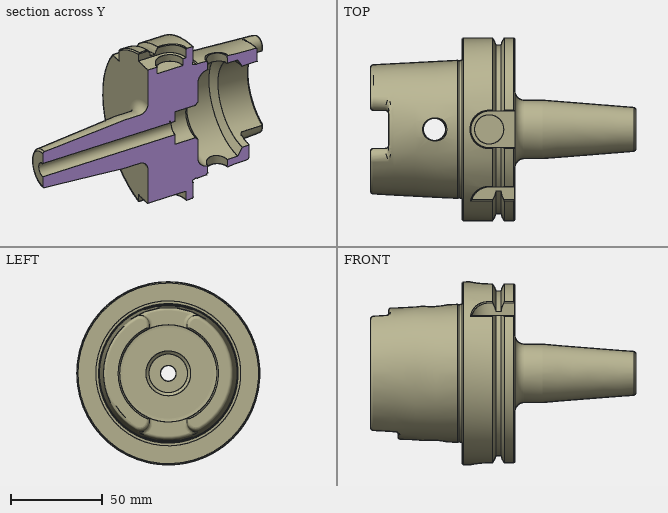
import cadquery as cq
import math


shank_length = 50.0
flange_width = 28.9
overall_length = 145.0
nose_tip_x = overall_length - shank_length

shank_radius = 75.5 / 2
shank_slope = 1 / 20
shank_rounding = 1.7
shank_end_radius = shank_radius - shank_slope * shank_length
relief_start_x = -2.5
relief_bottom_x = -1.6
relief_end_x = -0.6
relief_depth = 0.3
face_groove_radius = 39.6
face_groove_inner_radius = 38.1
face_groove_depth = 0.6

flange_radius = 50.0
flange_chamfer = 0.7
groove_radius = 46.1
groove_top_x = (16.5, 23.0)
groove_bottom_x = (18.5, 21.3)
groove_flank_x = (17.8, 21.8)
groove_flank_radius = 47.8

nose_radius = 32.0 / 2
nose_root_fillet = 5.1
nose_cone_x = 44.0
nose_tip_radius = 12.0
nose_tip_chamfer = 1.0

mouth_radius = 53.0 / 2
mouth_chamfer = 0.9
mouth_length = 19.5
clamping_radius = 63.0 / 2
clamping_angle = 60
bore_floor_x = -2.9
bore_floor_fillet = 6.7
coolant_radius = 21.0 / 2
coolant_chamfer = 1.7
coolant_depth = 14.5
through_radius = 8.4 / 2

cross_hole_x = -15.1
cross_hole_diameter = 12.0
cross_hole_rim = 12.8

drive_half_width = 10.3
drive_mouth_fillet = 5.0
drive_floor_fillet = 1.7
drive_depth_above = 9.9
drive_depth_below = 15.0
drive_floor_above_x = drive_depth_above - shank_length
drive_floor_below_x = drive_depth_below - shank_length

slot_radius = 20.0 / 2
slot_end_x = 14.8
slot_floor_z = 44.0
slot_chamfer = 0.51
notch_floor = 31.5
chip_hole_diameter = 16.0
chip_hole_depth = 4.4

margin = 7.2
tolerance = 0.01


def revolve_x(profile):
    return profile.close().revolve(360, (0, 0, 0), (1, 0, 0))


def turned_body():
    profile = (
        cq.Workplane("XY")
        .moveTo(-shank_length, 0)
        .lineTo(-shank_length, shank_end_radius)
        .lineTo(relief_start_x, shank_radius)
        .lineTo(relief_bottom_x, shank_radius - relief_depth)
        .lineTo(relief_end_x, shank_radius)
        .lineTo(face_groove_depth, face_groove_inner_radius)
        .lineTo(face_groove_depth, face_groove_radius)
        .lineTo(0, face_groove_radius)
        .lineTo(0, flange_radius - flange_chamfer)
        .lineTo(flange_chamfer, flange_radius)
        .lineTo(flange_width - flange_chamfer, flange_radius)
        .lineTo(flange_width, flange_radius - flange_chamfer)
        .lineTo(flange_width, nose_radius + nose_root_fillet)
        .radiusArc((flange_width + nose_root_fillet, nose_radius), -nose_root_fillet)
        .lineTo(nose_cone_x, nose_radius)
        .lineTo(nose_tip_x - nose_tip_chamfer, nose_tip_radius)
        .lineTo(nose_tip_x, nose_tip_radius - nose_tip_chamfer)
        .lineTo(nose_tip_x, 0)
    )
    return revolve_x(profile)


def gripper_groove():
    outer_radius = flange_radius + margin
    profile = (
        cq.Workplane("XY")
        .moveTo(groove_top_x[0], outer_radius)
        .lineTo(groove_top_x[0], flange_radius)
        .lineTo(groove_flank_x[0], groove_flank_radius)
        .lineTo(groove_bottom_x[0], groove_radius)
        .lineTo(groove_bottom_x[1], groove_radius)
        .lineTo(groove_flank_x[1], groove_flank_radius)
        .lineTo(groove_top_x[1], flange_radius)
        .lineTo(groove_top_x[1], outer_radius)
    )
    return revolve_x(profile)


def bore():
    cone_length = (clamping_radius - mouth_radius) / math.tan(math.radians(clamping_angle))
    mouth_end_x = mouth_length - shank_length
    profile = (
        cq.Workplane("XY")
        .moveTo(-shank_length, 0)
        .lineTo(-shank_length, mouth_radius + mouth_chamfer)
        .lineTo(-shank_length + mouth_chamfer, mouth_radius)
        .lineTo(mouth_end_x, mouth_radius)
        .lineTo(mouth_end_x + cone_length, clamping_radius)
        .lineTo(bore_floor_x - bore_floor_fillet, clamping_radius)
        .radiusArc((bore_floor_x, clamping_radius - bore_floor_fillet), bore_floor_fillet)
        .lineTo(bore_floor_x, coolant_radius + coolant_chamfer)
        .lineTo(bore_floor_x + coolant_chamfer, coolant_radius)
        .lineTo(bore_floor_x + coolant_depth, coolant_radius)
        .lineTo(bore_floor_x + coolant_depth, through_radius)
        .lineTo(nose_tip_x, through_radius)
        .lineTo(nose_tip_x, 0)
    )
    return revolve_x(profile)


def drive_slot(depth):
    """Straight slot above the axis, cut into the shank end."""
    length = depth + margin
    base = cq.Workplane("XY", origin=(-shank_length - margin, 0, 0))
    return base.box(length, 2 * drive_half_width, flange_radius, centered=(False, True, False))


def on_drive_slot_mouth(edge):
    """True for a long edge where a drive slot wall meets the outside of the taper."""
    start, middle, end = (edge.positionAt(t) for t in (0, 0.5, 1))
    on_wall = abs(abs(middle.y) - drive_half_width) < tolerance
    on_taper = abs(middle.z) > mouth_radius and middle.x < cross_hole_x
    return on_wall and on_taper and abs(end.x - start.x) > tolerance


def on_drive_slot_floor(edge):
    """True for an edge between the floor of a drive slot and one of its walls."""
    points = [edge.positionAt(t) for t in (0, 0.5, 1)]
    floor_x = drive_floor_above_x if points[1].z > 0 else drive_floor_below_x
    on_floor = all(abs(p.x - floor_x) < tolerance for p in points)
    on_wall = all(abs(p.y) > drive_half_width - tolerance for p in points)
    return on_floor and on_wall


def round_ended_slot(center_y, floor_z):
    """Slot cut downwards to floor_z, closed by a half round at its -X end."""
    length = flange_width - slot_end_x + margin
    height = flange_radius + margin - floor_z
    base = cq.Workplane("XY", origin=(slot_end_x, center_y, floor_z))
    straight = base.rect(length, 2 * slot_radius).extrude(height).translate((length / 2, 0, 0))
    return base.circle(slot_radius).extrude(height).union(straight)


def on_flange_rim(edge):
    """True for an edge that lies on the outer cylinder of the flange and does not run around it."""
    points = [edge.positionAt(t) for t in (0, 0.5, 1)]
    on_cylinder = all(abs(math.hypot(p.y, p.z) - flange_radius) < tolerance for p in points)
    length_along_x = abs(points[1].x - points[0].x)
    return on_cylinder and length_along_x > tolerance


def cross_hole():
    """Through hole along Z whose rims on the taper are bevelled by a short cone."""
    rim_z = shank_radius + shank_slope * cross_hole_x
    bevel = (cross_hole_rim - cross_hole_diameter) / 2
    radius = cross_hole_diameter / 2
    half_profile = (
        cq.Workplane("XZ", origin=(cross_hole_x, 0, 0))
        .lineTo(radius, 0)
        .lineTo(radius, rim_z - 2 * bevel)
        .lineTo(radius + 2 * bevel, rim_z)
        .lineTo(radius + 2 * bevel, flange_radius)
        .lineTo(0, flange_radius)
        .close()
    )
    upper_half = half_profile.revolve(360, (0, 0, 0), (0, 1, 0))
    return upper_half.union(upper_half.mirror("XY"))


drive_slot_above = drive_slot(drive_depth_above)
drive_slot_below = drive_slot(drive_depth_below).mirror("XY")
body = turned_body().cut(drive_slot_above).cut(drive_slot_below)
body = body.edges().filter(on_drive_slot_mouth).fillet(drive_mouth_fillet)
body = body.faces("<X").edges().fillet(shank_rounding)
body = body.edges().filter(on_drive_slot_floor).fillet(drive_floor_fillet)

upper_slot = round_ended_slot(0, slot_floor_z)
lower_slot = upper_slot.mirror("XY")
notch = round_ended_slot(-notch_floor - slot_radius, notch_floor)
body = body.cut(upper_slot).cut(lower_slot).cut(notch)
body = body.edges().filter(on_flange_rim).chamfer(slot_chamfer)

chip_hole = (
    cq.Workplane("XY", origin=(slot_end_x, 0, slot_floor_z - chip_hole_depth))
    .circle(chip_hole_diameter / 2)
    .extrude(chip_hole_depth + margin)
)

result = body.cut(gripper_groove()).cut(chip_hole).cut(bore()).cut(cross_hole())